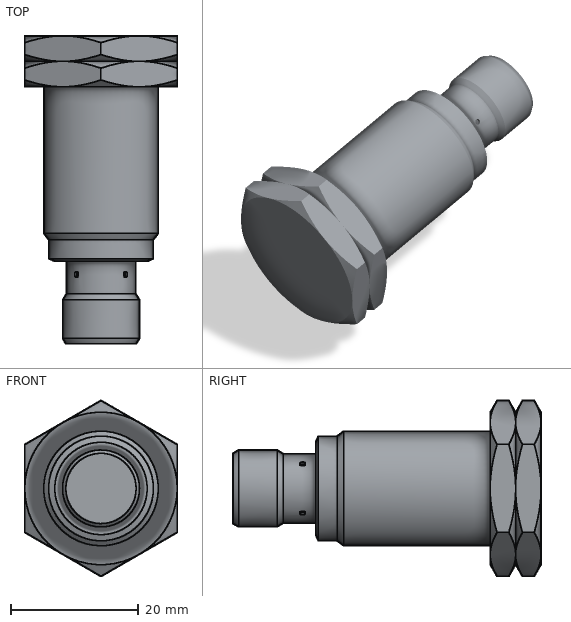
import cadquery as cq
import math

total_length = 48.5

across_flats = 24.0
nut_count = 2
nut_stack_length = 8.0
nut_thickness = nut_stack_length / nut_count
nut_chamfer_angle = 30.0

barrel_radius = 9.0
barrel_front = 17.4
collar_radius = 8.25
collar_back = 16.4
collar_front = 13.0
collar_chamfer_length = 0.45
collar_chamfer_depth = 0.95

neck_radius = 5.5
neck_front = 7.9
plug_radius = 6.05
plug_back = 6.95
tip_radius = 5.55
tip_chamfer_length = 0.85

hole_diameter = 0.85
hole_depth = 0.5
hole_position = 10.95
hole_count = 4
first_hole_angle = 45.0


def revolve_about_y(points):
    """Revolve a (radius, y) outline around the part axis."""
    return cq.Workplane("XY").polyline(points).close().revolve(360, (0, 0, 0), (0, 1, 0))


def make_shaft():
    return revolve_about_y([
        (0, 0),
        (tip_radius, 0),
        (plug_radius, tip_chamfer_length),
        (plug_radius, plug_back),
        (neck_radius, neck_front),
        (neck_radius, collar_front),
        (collar_radius - collar_chamfer_depth, collar_front),
        (collar_radius, collar_front + collar_chamfer_length),
        (collar_radius, collar_back),
        (barrel_radius, barrel_front),
        (barrel_radius, total_length),
        (0, total_length),
    ])


def make_nut(front):
    """Hexagonal nut with conical chamfers that touch the flats at both end faces."""
    back = front + nut_thickness
    flat_radius = across_flats / 2
    corner_radius = flat_radius / math.cos(math.radians(30))
    chamfer_length = (corner_radius - flat_radius) * math.tan(math.radians(nut_chamfer_angle))
    hexagon = (
        cq.Workplane("XZ", origin=(0, back, 0))
        .polygon(6, 2 * corner_radius)
        .extrude(nut_thickness)
        .rotate((0, 0, 0), (0, 1, 0), 30)
    )
    chamfer_envelope = revolve_about_y([
        (0, front),
        (flat_radius, front),
        (corner_radius, front + chamfer_length),
        (corner_radius, back - chamfer_length),
        (flat_radius, back),
        (0, back),
    ])
    return hexagon.intersect(chamfer_envelope)


def make_neck_hole(angle):
    """Blind radial hole cutter, turned about the part axis from +X."""
    overshoot = 0.5
    return (
        cq.Workplane("YZ", origin=(neck_radius - hole_depth, hole_position, 0))
        .circle(hole_diameter / 2)
        .extrude(hole_depth + overshoot)
        .rotate((0, 0, 0), (0, 1, 0), angle)
    )


result = make_shaft()
for index in range(nut_count):
    result = result.union(make_nut(total_length - (index + 1) * nut_thickness))
for index in range(hole_count):
    result = result.cut(make_neck_hole(first_hole_angle + index * 360 / hole_count))